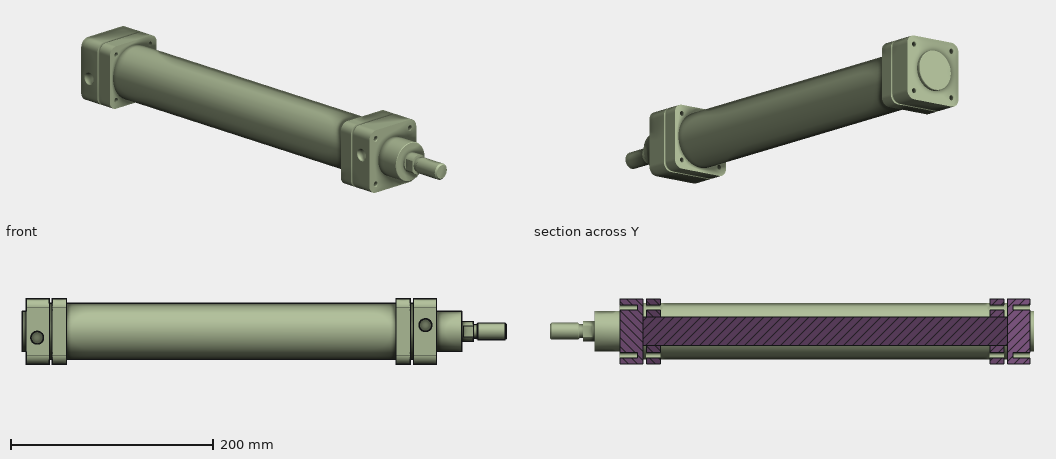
import cadquery as cq

TOTAL_LENGTH = 479.0

BLOCK_SIDE = 65.0
BOLT_SPACING = 47.5
BOLT_POSITIONS = (-BOLT_SPACING / 2, BOLT_SPACING / 2)
BOLT_HOLE_DIAMETER = 5.0
COVER_HOLE_CHAMFER = 0.5
COVER_HOLE_DEPTH = 17.2
CORNER_RADIUS = (BLOCK_SIDE - BOLT_SPACING) / 2
COVER_THICKNESS = 23.0
FLANGE_THICKNESS = 14.5
FLANGE_GAP = 3.0

BOSS_DIAMETER = 40.0
BOSS_CHAMFER = 0.5
REAR_BOSS_LENGTH = 4.0
FRONT_BOSS_LENGTH = 25.0

PORT_DIAMETER = 12.0
PORT_CHAMFER = 0.5
PORT_DEPTH = 12.0
PORT_FROM_OUTER_FACE = 11.0
PORT_OFFSET = 6.0

BARREL_DIAMETER = 56.0

ROD_DIAMETER = 20.0
ROD_FLATS_WIDTH = 17.0
THREAD_DIAMETER = 17.0
THREAD_CHAMFER = 1.5
NECK_DIAMETER = 14.0
FLATS_START_FROM_BOSS = 2.0
FLATS_LENGTH = 9.5
NECK_LENGTH = 3.5
NECK_CHAMFER = (THREAD_DIAMETER - NECK_DIAMETER) / 2

MOUTH_TAPER = 45

REAR_COVER_X = REAR_BOSS_LENGTH
BARREL_START_X = REAR_COVER_X + COVER_THICKNESS
REAR_FLANGE_X = BARREL_START_X + FLANGE_GAP
FRONT_COVER_END_X = 410.0
BARREL_END_X = FRONT_COVER_END_X - COVER_THICKNESS
FRONT_FLANGE_X = BARREL_END_X - FLANGE_GAP - FLANGE_THICKNESS
FRONT_BOSS_END_X = FRONT_COVER_END_X + FRONT_BOSS_LENGTH
FLATS_START_X = FRONT_BOSS_END_X + FLATS_START_FROM_BOSS
NECK_START_X = FLATS_START_X + FLATS_LENGTH
THREAD_START_X = NECK_START_X + NECK_LENGTH


def cylinder(diameter, start_x, end_x):
    """Solid cylinder on the X axis."""
    return cq.Workplane("YZ", origin=(start_x, 0, 0)).circle(diameter / 2).extrude(end_x - start_x)


def square_block(start_x, thickness):
    """Square block with rounded long edges."""
    plane = cq.Workplane("YZ", origin=(start_x, 0, 0))
    return plane.rect(BLOCK_SIDE, BLOCK_SIDE).extrude(thickness).edges("|X").fillet(CORNER_RADIUS)


def chamfered_hole(plane, diameter, depth, chamfer):
    """Cutter for a blind hole along the plane normal, chamfered at its mouth in the plane."""
    bore = plane.circle(diameter / 2).extrude(depth)
    mouth = plane.circle(diameter / 2 + chamfer).extrude(chamfer, taper=MOUTH_TAPER)
    return bore.union(mouth)


def cut_cover_holes(cover, outer_x, direction):
    """Cut four blind bolt holes from the outer face, along +X or -X (direction 1 or -1)."""
    for y in BOLT_POSITIONS:
        for z in BOLT_POSITIONS:
            plane = cq.Workplane(cq.Plane((outer_x, y, z), xDir=(0, 1, 0), normal=(direction, 0, 0)))
            cover = cover.cut(
                chamfered_hole(plane, BOLT_HOLE_DIAMETER, COVER_HOLE_DEPTH, COVER_HOLE_CHAMFER)
            )
    return cover


def cut_port(cover, x, z):
    """Cut a blind port into the -Y face."""
    plane = cq.Workplane(cq.Plane((x, -BLOCK_SIDE / 2, z), xDir=(1, 0, 0), normal=(0, 1, 0)))
    return cover.cut(chamfered_hole(plane, PORT_DIAMETER, PORT_DEPTH, PORT_CHAMFER))


def make_rear_cover():
    boss = cylinder(BOSS_DIAMETER, 0, REAR_COVER_X).faces("<X").chamfer(BOSS_CHAMFER)
    cover = square_block(REAR_COVER_X, COVER_THICKNESS).union(boss)
    cover = cut_cover_holes(cover, REAR_COVER_X, 1)
    return cut_port(cover, REAR_COVER_X + PORT_FROM_OUTER_FACE, -PORT_OFFSET)


def make_front_cover():
    boss = cylinder(BOSS_DIAMETER, FRONT_COVER_END_X, FRONT_BOSS_END_X).faces(">X").chamfer(BOSS_CHAMFER)
    cover = square_block(BARREL_END_X, COVER_THICKNESS).union(boss)
    cover = cut_cover_holes(cover, FRONT_COVER_END_X, -1)
    cover = cover.cut(cylinder(ROD_DIAMETER, BARREL_END_X, FRONT_BOSS_END_X))
    return cut_port(cover, FRONT_COVER_END_X - PORT_FROM_OUTER_FACE, PORT_OFFSET)


def make_flange(start_x):
    """Clamping flange that the barrel passes through, with four through bolt holes."""
    end_x = start_x + FLANGE_THICKNESS
    flange = square_block(start_x, FLANGE_THICKNESS).cut(cylinder(BARREL_DIAMETER, start_x, end_x))
    for y in BOLT_POSITIONS:
        for z in BOLT_POSITIONS:
            flange = flange.cut(cylinder(BOLT_HOLE_DIAMETER, start_x, end_x).translate((0, y, z)))
    return flange


def make_barrel():
    return cylinder(BARREL_DIAMETER, BARREL_START_X, BARREL_END_X)


def make_rod():
    shaft = cylinder(ROD_DIAMETER, BARREL_END_X, FLATS_START_X)
    flats_outline = cq.Workplane("YZ", origin=(FLATS_START_X, 0, 0)).rect(ROD_FLATS_WIDTH, ROD_DIAMETER)
    flats = cylinder(ROD_DIAMETER, FLATS_START_X, NECK_START_X).intersect(flats_outline.extrude(FLATS_LENGTH))
    neck = cylinder(NECK_DIAMETER, NECK_START_X, THREAD_START_X)
    thread = cylinder(THREAD_DIAMETER, THREAD_START_X, TOTAL_LENGTH)
    thread = thread.faces(">X").chamfer(THREAD_CHAMFER).faces("<X").chamfer(NECK_CHAMFER)
    return shaft.union(flats).union(neck).union(thread)


rear_cover = make_rear_cover()
front_cover = make_front_cover()
flanges = [make_flange(x) for x in (REAR_FLANGE_X, FRONT_FLANGE_X)]
barrel = make_barrel()
rod = make_rod()

result = cq.Compound.makeCompound(
    [rear_cover.val(), front_cover.val(), barrel.val(), rod.val(), *[flange.val() for flange in flanges]]
)